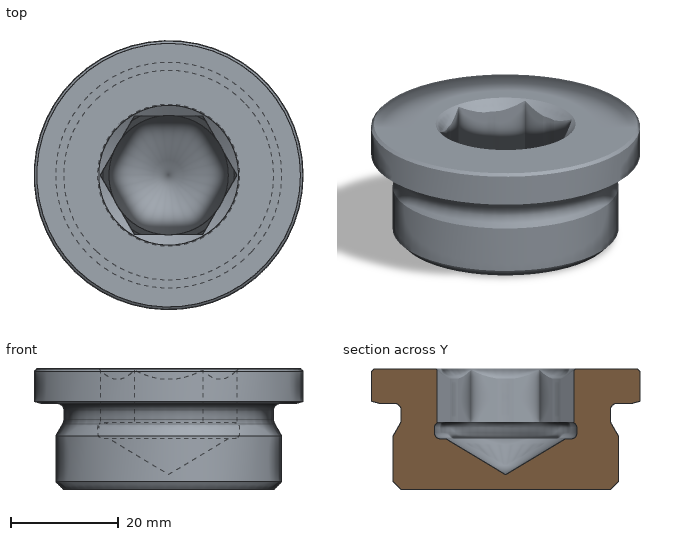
import cadquery as cq
import math

height = 22.5
flange_radius = 25.0
flange_thickness = 6.5
flange_chamfer = 0.5
flange_taper_width = 1.5
flange_taper_height = 0.4
shank_radius = 21.0
shank_top_depth = 12.5
shank_chamfer = 1.5
neck_radius = 19.5
neck_top_fillet = 1.2
neck_bottom_fillet = 1.8
neck_taper_angle = 30.0

hex_across_flats = 22.0
hex_depth = 10.0
drill_radius = 11.1
socket_depth = 13.0
drill_point_angle = 118.0
undercut_radius = 13.2
undercut_fillet = 1.0
countersink_radius = 13.0


def plug_body():
    """Revolved outside of the plug, with arcs rounding both ends of the neck."""
    flange_bottom = height - flange_thickness
    shank_top = height - shank_top_depth
    taper = math.radians(neck_taper_angle)
    taper_top = shank_top + (shank_radius - neck_radius) / math.tan(taper)
    arc_center_radius = neck_radius + neck_bottom_fillet
    arc_center_height = taper_top + neck_bottom_fillet * math.tan(taper / 2)

    def neck_arc_point(angle):
        return (
            arc_center_radius - neck_bottom_fillet * math.cos(angle),
            arc_center_height - neck_bottom_fillet * math.sin(angle),
        )

    top_arc_inset = neck_top_fillet * (1 - math.sqrt(0.5))
    profile = (
        cq.Workplane("XZ")
        .lineTo(shank_radius - shank_chamfer, 0)
        .lineTo(shank_radius, shank_chamfer)
        .lineTo(shank_radius, shank_top)
        .lineTo(*neck_arc_point(taper))
        .threePointArc(neck_arc_point(taper / 2), neck_arc_point(0))
        .lineTo(neck_radius, flange_bottom - neck_top_fillet)
        .threePointArc(
            (neck_radius + top_arc_inset, flange_bottom - top_arc_inset),
            (neck_radius + neck_top_fillet, flange_bottom),
        )
        .lineTo(flange_radius - flange_taper_width, flange_bottom)
        .lineTo(flange_radius, flange_bottom + flange_taper_height)
        .lineTo(flange_radius, height - flange_chamfer)
        .lineTo(flange_radius - flange_chamfer, height)
        .lineTo(0, height)
        .close()
    )
    return profile.revolve(360, (0, 0), (0, 1))


def hexagon():
    """Hexagonal prism with two corners on the X axis."""
    across_corners = hex_across_flats / math.cos(math.pi / 6)
    return (
        cq.Workplane("XY", origin=(0, 0, height - hex_depth))
        .polygon(6, across_corners)
        .extrude(hex_depth)
    )


def drilling():
    """Round socket core: 45 degree countersink, relief bore, and conical drill point."""
    floor = height - socket_depth
    point_length = drill_radius / math.tan(math.radians(drill_point_angle / 2))
    countersink_depth = countersink_radius - drill_radius
    return (
        cq.Workplane("XZ")
        .moveTo(0, floor - point_length)
        .lineTo(drill_radius, floor)
        .lineTo(drill_radius, height - countersink_depth)
        .lineTo(countersink_radius, height)
        .lineTo(0, height)
        .close()
        .revolve(360, (0, 0), (0, 1))
    )


def undercut():
    """Round recess below the hexagon with filleted floor and ceiling corners."""
    return (
        cq.Workplane("XY", origin=(0, 0, height - socket_depth))
        .circle(undercut_radius)
        .extrude(socket_depth - hex_depth)
        .faces("<Z or >Z")
        .edges()
        .fillet(undercut_fillet)
    )


result = plug_body().cut(hexagon()).cut(drilling()).cut(undercut())